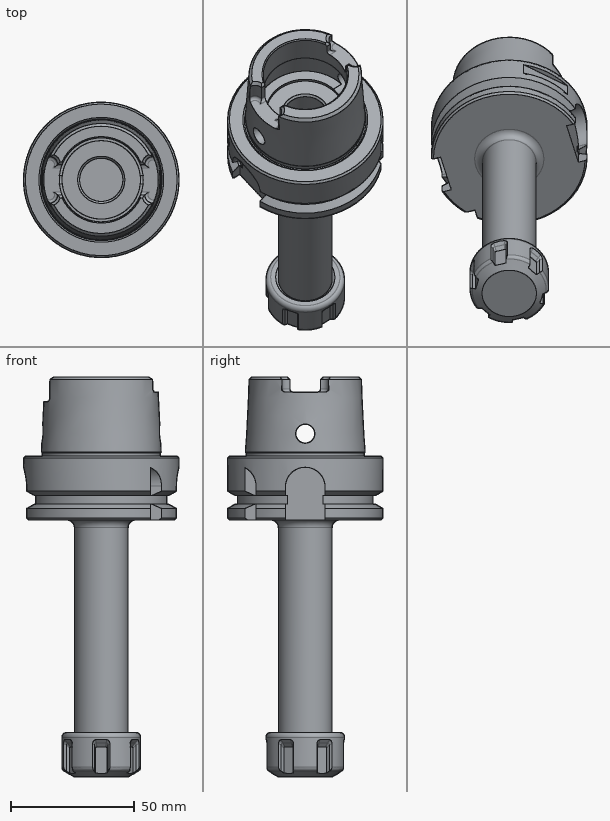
import cadquery as cq
import math

total_height = 162.0
flange_top = 130.0
flange_bottom = 104.0
nut_top = 18.0

shank_top_radius = 22.8
shank_base_radius = 24.3
shank_chamfer = 1.1
relief_outer_radius = 25.3
relief_width = 1.3
relief_depth = 0.6
relief_rise = 1.3

bore_radius = 17.0
bore_mouth_chamfer = 0.5
undercut_radius = 20.0
undercut_top = 149.0
undercut_angle = math.radians(30)
undercut_cone_height = (undercut_radius - bore_radius) * math.tan(undercut_angle)
bore_floor = 135.6
seat_radius = 15.9
seat_depth = 1.3
pilot_radius = 8.7
pilot_chamfer = 0.8
pilot_depth = 9.7

key_slot_width = 12.3
key_slot_flare = 3.2
key_slot_mouth_x = 20.9
key_slot_fillet = 1.3
key_slot_depths = {-1: 10.0, 1: 6.2}

cross_hole_diameter = 7.6
cross_hole_z = 139.0

flange_radius = 63.0 / 2
flange_chamfer = 0.8
rim_chamfer = 0.8
groove_top = 115.7
groove_bottom = 108.7
groove_flank_height = 1.8
groove_flank_angle = math.radians(30)
groove_flank_depth = groove_flank_height / math.tan(groove_flank_angle)
groove_radius = 27.5

side_slot_floor = 26.5
side_slot_widths = {-1: 18.0, 1: 16.0}
side_slot_top = 125.4
corner_notch_offset = 20.0
corner_notch_radius = 8.5
corner_notch_top = 126.2
chip_flat_distance = 29.8
chip_flat_top = 126.4
chip_flat_height = 6.5
chip_flat_angle = 135

neck_radius = 21.9 / 2
neck_fillet = 3.0

nut_radius = 31.9 / 2
nut_fillet = 2.0
nut_face_radius = 11.0
nut_cone_angle = math.radians(30)
nut_mouth_radius = 12.0
nut_mouth_depth = 1.0
wrench_slot_count = 6
first_slot_angle = 90
wrench_slot_floor_x = 13.5
wrench_slot_lip_x = 14.7
wrench_slot_mouth_x = nut_radius
wrench_slot_floor_width = 4.5
wrench_slot_lip_width = 5.5
wrench_slot_mouth_width = 7.6
wrench_slot_floor_top = 12.2
wrench_slot_lip_top = 13.8
wrench_slot_mouth_top = 15.2
wrench_slot_floor_corner = 0.5
wrench_slot_lip_corner = 0.8
wrench_slot_mouth_corner = 1.5
short_slot_angle = 150
short_slot_drop = 1.0

overcut = 8.1


def revolve(profile):
    """Turn an (r, z) outline about the Z axis."""
    return profile.close().revolve(360, (0, 0, 0), (0, 1, 0))


def make_turned_body():
    flank_radius = flange_radius - groove_flank_depth
    relief_inner = relief_outer_radius - relief_width
    cone_height = (nut_radius - nut_face_radius) * math.tan(nut_cone_angle)
    fillet_run = nut_fillet * math.tan(math.pi / 4 - nut_cone_angle / 2)
    cone_end_radius = nut_radius - fillet_run * math.cos(nut_cone_angle)
    cone_end_z = cone_height - fillet_run * math.sin(nut_cone_angle)
    profile = (
        cq.Workplane("XZ")
        .moveTo(0, 0)
        .lineTo(nut_face_radius, 0)
        .lineTo(cone_end_radius, cone_end_z)
        .radiusArc((nut_radius, cone_height + fillet_run), -nut_fillet)
        .lineTo(nut_radius, nut_top - nut_fillet)
        .radiusArc((nut_radius - nut_fillet, nut_top), -nut_fillet)
        .lineTo(nut_mouth_radius, nut_top)
        .lineTo(neck_radius, nut_top - nut_mouth_depth)
        .lineTo(neck_radius, flange_bottom - neck_fillet)
        .radiusArc((neck_radius + neck_fillet, flange_bottom), neck_fillet)
        .lineTo(flange_radius - rim_chamfer, flange_bottom)
        .lineTo(flange_radius, flange_bottom + rim_chamfer)
        .lineTo(flange_radius, groove_bottom)
        .lineTo(flank_radius, groove_bottom + groove_flank_height)
        .lineTo(groove_radius, groove_bottom + groove_flank_height)
        .lineTo(groove_radius, groove_top - groove_flank_height)
        .lineTo(flank_radius, groove_top - groove_flank_height)
        .lineTo(flange_radius, groove_top)
        .lineTo(flange_radius, flange_top - flange_chamfer)
        .lineTo(flange_radius - flange_chamfer, flange_top)
        .lineTo(relief_outer_radius, flange_top)
        .lineTo(relief_outer_radius - relief_depth, flange_top - relief_depth)
        .lineTo(relief_inner, flange_top - relief_depth)
        .lineTo(relief_inner, flange_top + relief_rise)
        .lineTo(shank_base_radius, flange_top + relief_rise + shank_base_radius - relief_inner)
        .lineTo(shank_top_radius, total_height - shank_chamfer)
        .lineTo(shank_top_radius - shank_chamfer, total_height)
        .lineTo(0, total_height)
    )
    return revolve(profile)


def make_bore():
    seat_floor = bore_floor - seat_depth
    profile = (
        cq.Workplane("XZ")
        .moveTo(0, total_height)
        .lineTo(bore_radius + bore_mouth_chamfer, total_height)
        .lineTo(bore_radius, total_height - bore_mouth_chamfer)
        .lineTo(bore_radius, undercut_top)
        .lineTo(undercut_radius, undercut_top - undercut_cone_height)
        .lineTo(undercut_radius, bore_floor)
        .lineTo(seat_radius, bore_floor)
        .lineTo(seat_radius, seat_floor)
        .lineTo(pilot_radius + pilot_chamfer, seat_floor)
        .lineTo(pilot_radius, seat_floor - pilot_chamfer)
        .lineTo(pilot_radius, seat_floor - pilot_depth)
        .lineTo(0, seat_floor - pilot_depth)
    )
    return revolve(profile)


def make_key_slot(side, depth):
    """Slot across one wall of the shank, flaring round at its outer mouth."""
    half_width = key_slot_width / 2
    flare_start = key_slot_mouth_x - key_slot_flare
    flare_half_width = half_width + key_slot_flare
    outer_x = shank_base_radius + overcut
    outer_half_width = flare_half_width + overcut
    outline = (
        cq.Workplane("XY")
        .moveTo(0, -half_width)
        .lineTo(flare_start, -half_width)
        .radiusArc((key_slot_mouth_x, -flare_half_width), -key_slot_flare)
        .lineTo(key_slot_mouth_x, -outer_half_width)
        .lineTo(outer_x, -outer_half_width)
        .lineTo(outer_x, outer_half_width)
        .lineTo(key_slot_mouth_x, outer_half_width)
        .lineTo(key_slot_mouth_x, flare_half_width)
        .radiusArc((flare_start, half_width), -key_slot_flare)
        .lineTo(0, half_width)
        .close()
        .wire()
        .val()
    )
    straight = (
        cq.Workplane(outline.translate(cq.Vector(0, 0, total_height - depth)))
        .toPending()
        .extrude(depth)
        .faces("<Z")
        .edges("not(<X or >X)")
        .fillet(key_slot_fillet)
    )
    chamfered_mouth = (
        cq.Workplane(outline.translate(cq.Vector(0, 0, total_height - shank_chamfer)))
        .toPending()
        .extrude(shank_chamfer, taper=-45)
    )
    slot = straight.union(chamfered_mouth)
    return slot if side > 0 else slot.rotate((0, 0, 0), (0, 0, 1), 180)


def make_arched_cutter(floor_x, center_y, width, top):
    """Round-topped slot facing +X, open through the bottom of the flange."""
    arch_z = top - width / 2
    bottom = flange_bottom - overcut
    return (
        cq.Workplane("YZ", origin=(floor_x, 0, 0))
        .moveTo(center_y - width / 2, bottom)
        .lineTo(center_y - width / 2, arch_z)
        .threePointArc((center_y, top), (center_y + width / 2, arch_z))
        .lineTo(center_y + width / 2, bottom)
        .close()
        .extrude(flange_radius)
    )


def make_side_slot(side, width):
    slot = make_arched_cutter(side_slot_floor, 0, width, side_slot_top)
    return slot if side > 0 else slot.rotate((0, 0, 0), (0, 0, 1), 180)


def make_corner_notch():
    center_y = -corner_notch_offset - corner_notch_radius
    width = 2 * corner_notch_radius
    return make_arched_cutter(corner_notch_offset, center_y, width, corner_notch_top)


def make_chip_flat():
    return (
        cq.Workplane("XY", origin=(chip_flat_distance, 0, chip_flat_top - chip_flat_height))
        .rect(overcut, 2 * flange_radius)
        .extrude(chip_flat_height)
        .translate((overcut / 2, 0, 0))
        .rotate((0, 0, 0), (0, 0, 1), chip_flat_angle)
    )


def wrench_slot_outline(x, width, top, corner):
    """Closed outline at one X: straight sides and a round-cornered top."""
    half = width / 2
    return (
        cq.Workplane("YZ", origin=(x, 0, 0))
        .moveTo(-half, -overcut)
        .lineTo(-half, top - corner)
        .radiusArc((-half + corner, top), corner)
        .lineTo(half - corner, top)
        .radiusArc((half, top - corner), corner)
        .lineTo(half, -overcut)
        .close()
        .val()
    )


def make_wrench_slot(drop):
    """Slot facing +X, slanted from its floor to a wider lip and mouth, lowered by drop."""
    floor = wrench_slot_outline(
        wrench_slot_floor_x, wrench_slot_floor_width, wrench_slot_floor_top - drop, wrench_slot_floor_corner
    )
    lip = wrench_slot_outline(
        wrench_slot_lip_x, wrench_slot_lip_width, wrench_slot_lip_top - drop, wrench_slot_lip_corner
    )
    mouth = wrench_slot_outline(
        wrench_slot_mouth_x, wrench_slot_mouth_width, wrench_slot_mouth_top - drop, wrench_slot_mouth_corner
    )
    return cq.Workplane(cq.Solid.makeLoft([floor, lip, mouth], True))


result = make_turned_body()

for side, depth in key_slot_depths.items():
    result = result.cut(make_key_slot(side, depth))
result = result.cut(make_bore())

cross_hole = (
    cq.Workplane("YZ", origin=(0, 0, cross_hole_z))
    .circle(cross_hole_diameter / 2)
    .extrude(flange_radius, both=True)
)
result = result.cut(cross_hole)

for side, width in side_slot_widths.items():
    result = result.cut(make_side_slot(side, width))
result = result.cut(make_corner_notch()).cut(make_chip_flat())

for index in range(wrench_slot_count):
    angle = first_slot_angle + index * 360 / wrench_slot_count
    drop = short_slot_drop if angle == short_slot_angle else 0
    result = result.cut(make_wrench_slot(drop).rotate((0, 0, 0), (0, 0, 1), angle))